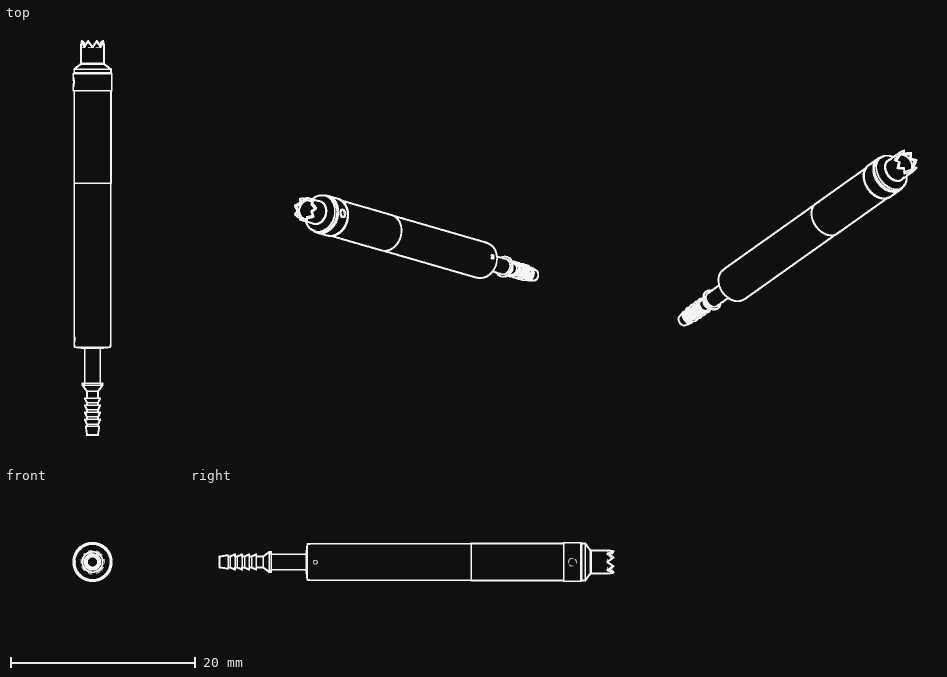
import cadquery as cq
import math

length = 42.7

plunger_radius = 1.26
tooth_count = 8
tooth_depth = 0.7
crown_bore_radius = 1.02

barrel_rear = 9.52
barrel_step = 27.3
barrel_front_radius = 2.0
barrel_rear_radius = 1.985
barrel_chamfer = 0.3
barrel_end_radius = 1.943
barrel_end_cone = 0.13
collar_rear = 37.28
collar_front = 39.25
collar_radius = 2.1
collar_chamfer = 0.13
nose_shoulder = 39.63
nose_front = 40.25
nose_lip_radius = 1.3
nose_lip_length = 0.1

rod_radius = 0.85
flange_front = 5.6
flange_radius = 1.1
flange_thickness = 0.15
flange_cone_end = 4.75
neck_radius = 0.62
tail_radius = 0.6
barb_radius = 0.85
barb_front = 4.0
barb_length = 0.5
barb_pitch = 0.75
barb_count = 4
last_barb_front = 1.0
last_barb_radius = 0.73
last_barb_land = 0.15

collar_dimple_position = 38.2
collar_dimple_radius = 0.43
barrel_dimple_position = 10.38
barrel_dimple_radius = 0.2
dimple_depth = 0.13


def barb(front):
    """Profile points of one barb, from its square front face back to the neck."""
    return [
        (neck_radius, front),
        (barb_radius, front),
        (neck_radius, front - barb_length),
    ]


def turned_body():
    """Solid of revolution about Y, outlined from the crown end to the barb end."""
    points = [
        (0, length),
        (plunger_radius, length),
        (plunger_radius, nose_front),
        (nose_lip_radius, nose_front),
        (nose_lip_radius, nose_front - nose_lip_length),
        (barrel_front_radius, nose_shoulder),
        (barrel_front_radius, collar_front),
        (collar_radius, collar_front - collar_chamfer),
        (collar_radius, collar_rear),
        (barrel_front_radius, collar_rear),
        (barrel_front_radius, barrel_step),
        (barrel_rear_radius, barrel_step),
        (barrel_rear_radius, barrel_rear + barrel_chamfer),
        (barrel_end_radius, barrel_rear),
        (rod_radius, barrel_rear - barrel_end_cone),
        (rod_radius, flange_front),
        (flange_radius, flange_front),
        (flange_radius, flange_front - flange_thickness),
        (neck_radius, flange_cone_end),
    ]
    for i in range(barb_count):
        points += barb(barb_front - i * barb_pitch)
    points += [
        (neck_radius, last_barb_front),
        (last_barb_radius, last_barb_front),
        (last_barb_radius, last_barb_front - last_barb_land),
        (tail_radius, 0),
        (0, 0),
    ]
    return cq.Workplane("XY").polyline(points).close().revolve(360, (0, 0, 0), (0, 1, 0))


def crown_cutter():
    """Bore and radial V grooves that leave pointed teeth around the rim."""
    half_step = math.pi / tooth_count
    half_width = plunger_radius * math.sin(half_step)
    cutter = (
        cq.Workplane("XZ", origin=(0, length, 0)).circle(crown_bore_radius).extrude(tooth_depth)
    )
    groove = (
        cq.Workplane("XY")
        .polyline([(-half_width, length), (half_width, length), (0, length - tooth_depth)])
        .close()
        .extrude(plunger_radius, both=True)
    )
    for i in range(tooth_count // 2):
        angle = i * 360 / tooth_count
        cutter = cutter.union(groove.rotate((0, 0, 0), (0, 1, 0), angle))
    return cutter


def dimple_cutter(position, radius, surface_radius):
    """Round blind recess cut inward from the -X side."""
    return (
        cq.Workplane("YZ", origin=(-surface_radius + dimple_depth, position, 0))
        .circle(radius)
        .extrude(-2 * dimple_depth)
    )


result = (
    turned_body()
    .cut(crown_cutter())
    .cut(dimple_cutter(collar_dimple_position, collar_dimple_radius, collar_radius))
    .cut(dimple_cutter(barrel_dimple_position, barrel_dimple_radius, barrel_rear_radius))
)